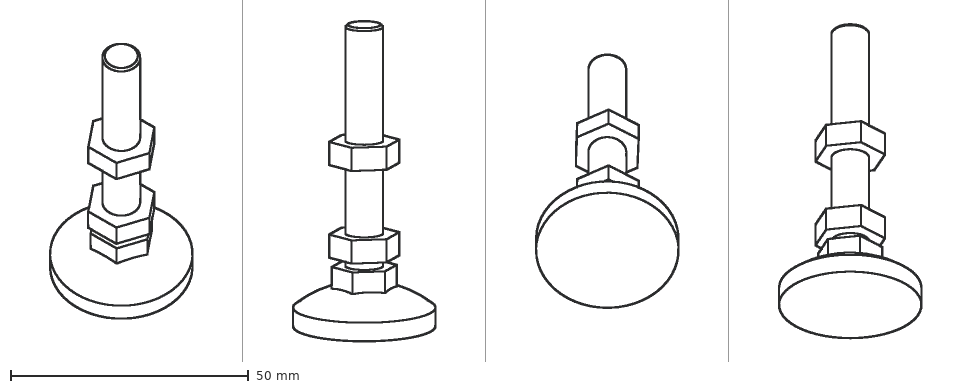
import cadquery as cq
import math

foot_diameter = 30.0
rim_height = 4.0
dome_top_height = 9.35
foot_radius = foot_diameter / 2
dome_rise = dome_top_height - rim_height
dome_radius = (foot_radius**2 + dome_rise**2) / (2 * dome_rise)

collar_across_flats = 12.0
collar_top = 13

total_height = 65
rod_diameter = 8.0
rod_chamfer = 0.5

nut_across_flats = 13
nut_height = 5.0
nut_bottoms = (15.0, 35.0)


def make_foot():
    """Cylindrical rim capped by a spherical dome."""
    mid_radius = foot_radius / 2
    dome_center = dome_top_height - dome_radius
    mid_height = dome_center + math.sqrt(dome_radius**2 - mid_radius**2)
    return (
        cq.Workplane("XZ")
        .lineTo(foot_radius, 0)
        .lineTo(foot_radius, rim_height)
        .threePointArc((mid_radius, mid_height), (0, dome_top_height))
        .close()
        .revolve(360, (0, 0), (0, 1))
    )


def make_hexagon(across_flats, bottom, height):
    """Hexagonal prism with two corners on the X axis."""
    across_corners = across_flats / math.cos(math.pi / 6)
    return cq.Workplane("XY").workplane(offset=bottom).polygon(6, across_corners).extrude(height)


def make_rod():
    """Round rod with a shallow chamfer around its top end."""
    rod_radius = rod_diameter / 2
    return (
        cq.Workplane("XZ")
        .lineTo(rod_radius, 0)
        .lineTo(rod_radius, total_height - rod_chamfer)
        .lineTo(rod_radius - rod_chamfer, total_height)
        .lineTo(0, total_height)
        .close()
        .revolve(360, (0, 0), (0, 1))
    )


result = make_foot().union(make_hexagon(collar_across_flats, 0, collar_top)).union(make_rod())
for nut_bottom in nut_bottoms:
    result = result.union(make_hexagon(nut_across_flats, nut_bottom, nut_height))